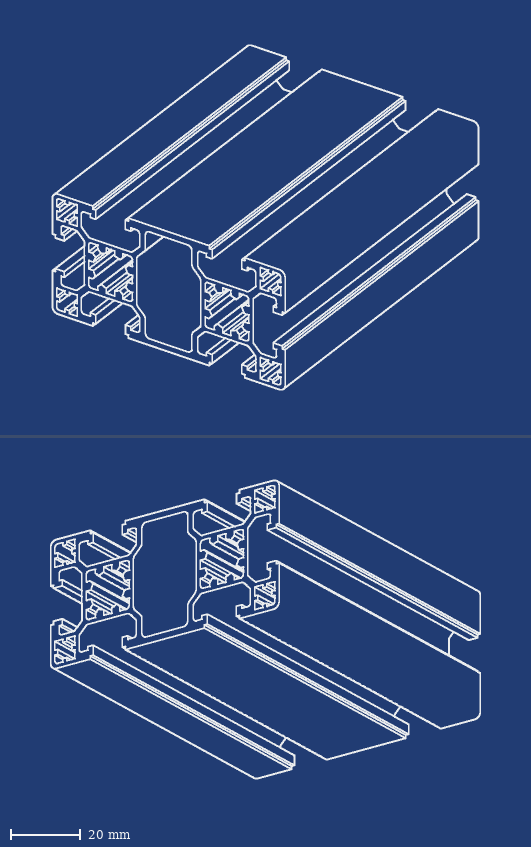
import cadquery as cq
import math

cell = 40.0
length = 100.0
half_cell = cell / 2
outer_radius = 2.0

mouth_width = 12.2
mouth_depth = 1.0
throat_width = 10.2
lip_depth = 4.1
hook_width = 1.9
undercut_depth = 3.0
undercut_width = 20.0
undercut_radius = 1.0
slot_depth = 11.0
floor_width = 14.6
shoulder_radius = 1.0
floor_radius = 1.0

core_size = 15.0
core_corner_radius = 1.0
core_bore_radius = 6.0
tooth_inner = 1.4
tooth_outer = 4.3
tooth_bevel_offset = 1.9

skin = 1.5
chamber_size = half_cell - undercut_width / 2 - 2 * skin
chamber_radius = 1.0
nub_width = 1.5
nub_height = 1.0

center_wall = 2.2
center_narrow_width = 16.0
center_wide_width = 22.0
center_wide_height = 16.0
center_corner_radius = 1.5
center_bend_radius = 2.0


def section_plane():
    """XZ plane at the +Y end, from which bodies are extruded toward -Y."""
    return cq.Workplane("XZ", origin=(0, length / 2, 0))


def bar(x_min, x_max, z_min, z_max):
    """Full-length rectangular bar between the given section limits."""
    return cq.Workplane("XY").box(x_max - x_min, length, z_max - z_min).translate(
        ((x_min + x_max) / 2, 0, (z_min + z_max) / 2)
    )


def prism(points):
    """Full-length prism with the given (x, z) section."""
    return section_plane().polyline(points).close().extrude(length)


def turn(body, angle):
    """Rotate a body about the Y axis."""
    return body.rotate((0, 0, 0), (0, 1, 0), angle)


def round_edges(body, points, radius):
    """Fillet the lengthwise edges of a body that pass through the (x, z) points."""
    reach = 0.01
    for x, z in points:
        around_edge = cq.selectors.BoxSelector(
            (x - reach, -reach, z - reach), (x + reach, reach, z + reach)
        )
        body = body.edges(around_edge).fillet(radius)
    return body


def make_slot():
    """T-slot opening toward +Z, positioned for a cell centred on the origin."""
    face = half_cell
    floor = face - slot_depth
    roof = face - undercut_depth
    wall = undercut_width / 2
    half_floor = floor_width / 2
    flare_top = floor + wall - half_floor

    slot = prism(
        [(-wall, roof), (-wall, flare_top), (-half_floor, floor)]
        + [(half_floor, floor), (wall, flare_top), (wall, roof)]
    )
    slot = round_edges(slot, [(-wall, roof), (wall, roof)], undercut_radius)
    slot = round_edges(slot, [(-wall, flare_top), (wall, flare_top)], shoulder_radius)
    slot = round_edges(slot, [(-half_floor, floor), (half_floor, floor)], floor_radius)

    half_mouth = mouth_width / 2
    half_throat = throat_width / 2
    half_hooks = half_throat + hook_width
    slot = slot.cut(bar(-half_hooks, half_hooks, face - lip_depth, face))
    slot = slot.union(bar(-half_throat, half_throat, face - lip_depth, face))
    return slot.union(bar(-half_mouth, half_mouth, face - mouth_depth, face))


def make_core():
    """Core cavity with two teeth on each wall, centred on the origin."""
    half_core = core_size / 2
    cavity = section_plane().circle(core_bore_radius).extrude(length)

    cavity = cavity.union(bar(-half_core, half_core, -tooth_inner, tooth_inner))
    cavity = cavity.union(bar(-tooth_inner, tooth_inner, -half_core, half_core))

    pocket = bar(tooth_outer, half_core, tooth_outer, half_core)
    pocket = round_edges(pocket, [(half_core, half_core)], core_corner_radius)
    half_bevel = tooth_bevel_offset / math.sqrt(2)
    bevel_reach = (2 * tooth_outer + tooth_bevel_offset) / math.sqrt(2)
    pocket = pocket.union(turn(bar(0, bevel_reach, -half_bevel, half_bevel), -45))
    for quarter in range(4):
        cavity = cavity.union(turn(pocket, 90 * quarter))
    return cavity


def make_corner_chamber():
    """Square chamber with a nub on each wall, rounded at its -X +Z corner."""
    half = chamber_size / 2
    chamber = bar(-half, half, -half, half)
    chamber = round_edges(chamber, [(-half, half)], chamber_radius)
    nub = bar(-nub_width / 2, nub_width / 2, half - nub_height, half)
    for quarter in range(4):
        chamber = chamber.cut(turn(nub, 90 * quarter))
    return chamber


def make_center_chamber():
    """Large chamber on the part's centre line, widening at mid-height."""
    top = half_cell - center_wall
    narrow = center_narrow_width / 2
    wide = center_wide_width / 2
    wide_top = center_wide_height / 2
    narrow_bottom = wide_top + wide - narrow

    upper = [(-wide, wide_top), (-narrow, narrow_bottom), (-narrow, top)]
    upper += [(-x, z) for x, z in reversed(upper)]
    lower = [(x, -z) for x, z in reversed(upper)]
    chamber = prism(upper + lower)
    end_corners = [(x, z) for x in (-narrow, narrow) for z in (-top, top)]
    chamber = round_edges(chamber, end_corners, center_corner_radius)
    bends = [
        (side * x, end * z)
        for x, z in ((narrow, narrow_bottom), (wide, wide_top))
        for side in (-1, 1)
        for end in (-1, 1)
    ]
    return round_edges(chamber, bends, center_bend_radius)


result = bar(-cell, cell, -half_cell, half_cell).edges("|Y").fillet(outer_radius)
result = result.cut(make_center_chamber())

slot = make_slot()
core = make_core()
for side in (-1, 1):
    cell_center = (side * half_cell, 0, 0)
    result = result.cut(core.translate(cell_center))
    for angle in (0, 180, side * 90):
        result = result.cut(turn(slot, angle).translate(cell_center))

chamber_inset = skin + chamber_size / 2
left_chamber = make_corner_chamber().translate(
    (chamber_inset - cell, 0, half_cell - chamber_inset)
)
left_chambers = left_chamber.union(left_chamber.mirror("XY"))
result = result.cut(left_chambers).cut(left_chambers.mirror("YZ"))